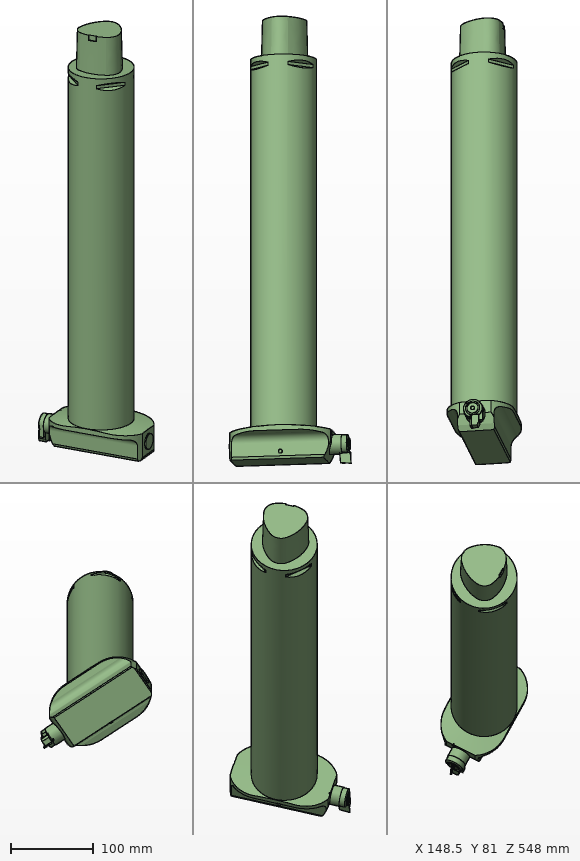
import cadquery as cq
import math


bar_diameter = 80.0
shoulder_z = 494.5
top_z = 543.0
lobe_count = 3
lobe_reach = 30.0
flat_reach = 26.0
lobe_center_distance = 13.0
coupling_taper = math.degrees(math.atan(1 / 20 / 2))
top_notch_width = 10.0
top_notch_height = 6.5
top_notch_floor_y = -23.0

slot_z = 483.5
slot_depth = 4.5
slot_root_height = 4.0
slot_mouth_height = 9.5
slot_count = 4

head_width = 81.0
head_left_x = -61.0
head_right_x = 63.5
head_left_arc_x = -25.0
head_right_arc_x = 26.5
head_rim_z = 34.5
head_rim_radius = 66.0
bar_foot_z = 38.5
rail_half_width = 22.5
rail_top_z = 20.0
rail_fillet = 10.0
wing_bottom_z = 32.0
edge_chamfer_height = 3.5
edge_chamfer_inset = 1.0
left_break_x = -56.5
left_break_z = 6.5
left_foot_x = -52.5
right_boss_diameter = 20.0
right_boss_x = 65.0
small_hole_diameter = 4.7
small_hole_depth = 1.5
side_pin_height = 1.5
rim_hole_y = 10.0
rim_hole_z = 32.0
side_pin_z = 9.0

cartridge_z = 19.0
shank_diameter = 24.0
shank_depth = 24.0
collar_x = -72.5
nose_diameter = 23.0
nose_chamfer_x = -79.0
nose_face_x = -80.0
nose_face_diameter = 17.5
screw_diameter = 13.5
screw_x = -81.0
screw_socket_diameter = 4.65
screw_socket_depth = 1.5
arm_left_x = -81.0
arm_right_x = -71.0
arm_bottom_z = -3.5
arm_back_y = -7.5
arm_chamfer = 2.0
block_left_x = -78.0
block_bottom_z = 4.5

insert_corner_x = -83.5
insert_corner_z = -5.0
insert_edge = 13.0
insert_relief = 5
insert_thickness = 1.5
insert_rake_y = 3.0


def x_cylinder(diameter, x_start, x_end, y, z):
    """A round bar along X between two X positions."""
    plane = cq.Plane(origin=(x_start, y, z), xDir=(0, 1, 0), normal=(1, 0, 0))
    return cq.Workplane(plane).circle(diameter / 2).extrude(x_end - x_start)


def polar(radius, degrees):
    angle = math.radians(degrees)
    return (radius * math.cos(angle), radius * math.sin(angle))


def coupling():
    """Tapered three-lobed polygon: lobe arcs joined tangentially by flatter arcs."""
    reach_difference = lobe_reach - flat_reach
    flat_center_distance = (
        reach_difference
        * (2 * lobe_center_distance - reach_difference)
        / (lobe_center_distance - 2 * reach_difference)
    )
    lobe_radius = lobe_reach - lobe_center_distance
    lobe_to_flat = 180 / lobe_count
    run = lobe_center_distance + flat_center_distance * math.cos(math.radians(lobe_to_flat))
    rise = flat_center_distance * math.sin(math.radians(lobe_to_flat))
    normal_angle = math.atan2(rise, run)
    joint_along = lobe_center_distance + lobe_radius * math.cos(normal_angle)
    joint_across = lobe_radius * math.sin(normal_angle)
    joint_radius = math.hypot(joint_along, joint_across)
    joint_angle = math.degrees(math.atan2(joint_across, joint_along))

    first_lobe = 90
    outline = cq.Workplane("XY", origin=(0, 0, shoulder_z))
    outline = outline.moveTo(*polar(joint_radius, first_lobe - joint_angle))
    for lobe in range(lobe_count):
        lobe_angle = first_lobe + 2 * lobe_to_flat * lobe
        next_lobe_angle = lobe_angle + 2 * lobe_to_flat
        outline = outline.threePointArc(
            polar(lobe_reach, lobe_angle), polar(joint_radius, lobe_angle + joint_angle)
        )
        outline = outline.threePointArc(
            polar(flat_reach, lobe_angle + lobe_to_flat),
            polar(joint_radius, next_lobe_angle - joint_angle),
        )
    body = outline.close().extrude(top_z - shoulder_z, taper=coupling_taper)
    notch = (
        cq.Workplane("XZ", origin=(0, top_notch_floor_y, top_z - top_notch_height / 2))
        .rect(top_notch_width, top_notch_height)
        .extrude(flat_reach)
    )
    return body.cut(notch)


def gripper_slot(angle):
    """Straight slot across the bar, flared toward its mouth."""
    root_x = bar_diameter / 2 - slot_depth
    flare = (slot_mouth_height - slot_root_height) / 2 / slot_depth
    cutter_x = root_x + 2 * slot_depth
    cutter_half_height = slot_root_height / 2 + flare * (cutter_x - root_x)
    return (
        cq.Workplane("XZ", origin=(0, 0, slot_z))
        .polyline(
            [
                (root_x, -slot_root_height / 2),
                (cutter_x, -cutter_half_height),
                (cutter_x, cutter_half_height),
                (root_x, slot_root_height / 2),
            ]
        )
        .close()
        .extrude(bar_diameter / 2, both=True)
        .rotate((0, 0, 0), (0, 0, 1), angle)
    )


def bar():
    body = (
        cq.Workplane("XY", origin=(0, 0, head_rim_z))
        .circle(bar_diameter / 2)
        .extrude(shoulder_z - head_rim_z)
    )
    slot_pitch = 360 / slot_count
    for slot in range(slot_count):
        body = body.cut(gripper_slot(slot_pitch * (slot + 0.5)))
    return body


def head_outline():
    """Long oval plate, before the flats on its ends are cut."""
    radius = head_width / 2
    return (
        cq.Workplane("XY")
        .moveTo(head_left_arc_x, -radius)
        .lineTo(head_right_arc_x, -radius)
        .threePointArc((head_right_arc_x + radius, 0), (head_right_arc_x, radius))
        .lineTo(head_left_arc_x, radius)
        .threePointArc((head_left_arc_x - radius, 0), (head_left_arc_x, -radius))
        .close()
        .extrude(bar_foot_z)
    )


def head_end_profile():
    """Cross-section along X: a narrow rail below two wings, with hollow fillets between."""
    half_width = head_width / 2
    fillet_mid = rail_fillet * (1 - math.sqrt(0.5))
    fillet_top_y = rail_half_width + rail_fillet
    fillet_top_z = rail_top_z + rail_fillet
    foot_half_width = rail_half_width - edge_chamfer_inset
    length = head_right_x - head_left_x
    return (
        cq.Workplane("YZ", origin=(head_left_x, 0, 0))
        .moveTo(-foot_half_width, 0)
        .lineTo(foot_half_width, 0)
        .lineTo(rail_half_width, edge_chamfer_height)
        .lineTo(rail_half_width, rail_top_z)
        .threePointArc(
            (rail_half_width + fillet_mid, fillet_top_z - fillet_mid), (fillet_top_y, fillet_top_z)
        )
        .lineTo(half_width, wing_bottom_z)
        .lineTo(half_width, bar_foot_z)
        .lineTo(-half_width, bar_foot_z)
        .lineTo(-half_width, wing_bottom_z)
        .lineTo(-fillet_top_y, fillet_top_z)
        .threePointArc(
            (-rail_half_width - fillet_mid, fillet_top_z - fillet_mid),
            (-rail_half_width, rail_top_z),
        )
        .lineTo(-rail_half_width, edge_chamfer_height)
        .close()
        .extrude(length)
    )


def head_side_profile():
    """Outline along Y: the left end slopes inward below the rail top, then breaks to the underside."""
    return (
        cq.Workplane("XZ")
        .polyline(
            [
                (left_foot_x, 0),
                (head_right_x - edge_chamfer_inset, 0),
                (head_right_x, edge_chamfer_height),
                (head_right_x, bar_foot_z),
                (head_left_x, bar_foot_z),
                (head_left_x, rail_top_z),
                (left_break_x, left_break_z),
            ]
        )
        .close()
        .extrude(head_width / 2, both=True)
    )


def head_top_cone():
    """Shallow cone that falls from the foot of the bar to the rim of the head."""
    bar_radius = bar_diameter / 2
    return (
        cq.Workplane("XZ")
        .polyline(
            [
                (0, 0),
                (head_rim_radius, 0),
                (head_rim_radius, head_rim_z),
                (bar_radius, bar_foot_z),
                (0, bar_foot_z),
            ]
        )
        .close()
        .revolve(360, (0, 0, 0), (0, 1, 0))
    )


def head():
    body = head_outline().intersect(head_end_profile()).intersect(head_side_profile())
    body = body.intersect(head_top_cone())
    right_boss = x_cylinder(right_boss_diameter, 0, right_boss_x, 0, cartridge_z)
    side_pin = (
        cq.Workplane("XZ", origin=(0, 0, side_pin_z))
        .circle(small_hole_diameter / 2)
        .extrude(-rail_half_width - side_pin_height)
    )
    rim_hole_end_x = head_left_x + small_hole_depth
    rim_hole = x_cylinder(small_hole_diameter, head_left_x, rim_hole_end_x, rim_hole_y, rim_hole_z)
    return body.union(right_boss).union(side_pin).cut(rim_hole)


def make_adapter():
    """Boring bar: coupling, bar and head in one piece, bored for the cartridge shank."""
    bore = x_cylinder(shank_diameter, head_left_x, head_left_x + shank_depth, 0, cartridge_z)
    return bar().union(coupling()).union(head()).cut(bore)


def cartridge_arm():
    """Arm below the nose: a narrow tool holder backed by a wider block."""
    holder = (
        cq.Workplane("YZ", origin=(arm_left_x, 0, 0))
        .polyline(
            [
                (insert_rake_y, cartridge_z - nose_face_diameter / 2),
                (insert_rake_y, arm_bottom_z),
                (arm_back_y + arm_chamfer, arm_bottom_z),
                (arm_back_y, arm_bottom_z + 2 * arm_chamfer),
                (arm_back_y, cartridge_z - nose_face_diameter / 2),
            ]
        )
        .close()
        .extrude(arm_right_x - arm_left_x)
    )
    block = cq.Workplane("XY").box(
        collar_x - block_left_x,
        nose_diameter / 2,
        cartridge_z - block_bottom_z,
        centered=False,
    )
    return holder.union(block.translate((block_left_x, -nose_diameter / 2, block_bottom_z)))


def make_cartridge(insert):
    """Round cartridge with a screw in its nose, an arm and a pocket that fits the insert."""
    shank_end_x = head_left_x + shank_depth
    shank = x_cylinder(shank_diameter, collar_x, shank_end_x, 0, cartridge_z)
    nose = (
        cq.Workplane("XY", origin=(0, 0, cartridge_z))
        .polyline(
            [
                (collar_x, 0),
                (collar_x, nose_diameter / 2),
                (nose_chamfer_x, nose_diameter / 2),
                (nose_face_x, nose_face_diameter / 2),
                (nose_face_x, 0),
            ]
        )
        .close()
        .revolve(360, (0, 0, 0), (1, 0, 0))
    )
    screw = x_cylinder(screw_diameter, screw_x, nose_face_x, 0, cartridge_z)
    socket = x_cylinder(screw_socket_diameter, screw_x, screw_x + screw_socket_depth, 0, cartridge_z)
    return shank.union(nose).union(screw).union(cartridge_arm()).cut(socket).cut(insert)


def make_insert():
    """Rhombic cutting plate, its corner pointing down and outward."""
    relief = math.radians(insert_relief)
    long_step = insert_edge * math.cos(relief)
    short_step = insert_edge * math.sin(relief)
    diagonal_step = long_step + short_step
    return (
        cq.Workplane("XZ", origin=(insert_corner_x, insert_rake_y, insert_corner_z))
        .polyline(
            [(0, 0), (long_step, short_step), (diagonal_step, diagonal_step), (short_step, long_step)]
        )
        .close()
        .extrude(insert_thickness)
    )


adapter = make_adapter()
cutting_insert = make_insert()
cartridge = make_cartridge(cutting_insert)

result = cq.Compound.makeCompound([adapter.val(), cartridge.val(), cutting_insert.val()])